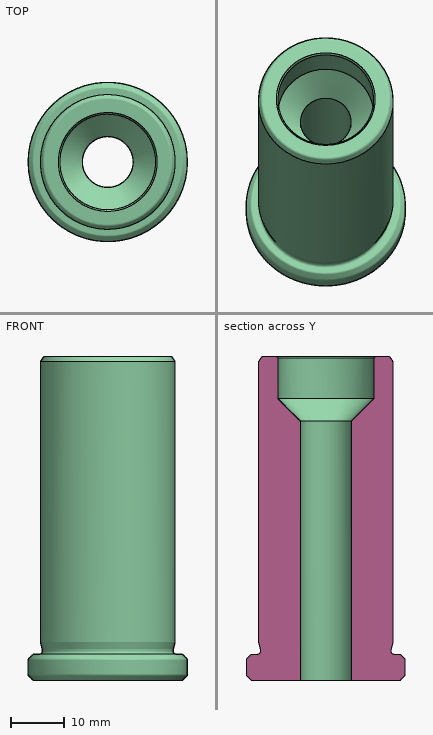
import cadquery as cq

total_length = 61.0
flange_height = 5.0
flange_radius = 30.0 / 2
tube_radius = 25.4 / 2
relief_radius = 24.7 / 2
bore_radius = 18.0 / 2
hole_radius = 9.5 / 2

flange_chamfer = 1.0
tube_chamfer_height = 1.0
tube_chamfer_width = 0.6
bore_chamfer = 0.3
edge_blend = 0.5

relief_top = 7.2
relief_taper_end = 5.85
root_fillet = 0.5

bore_floor = 53.1
cone_height = bore_radius - hole_radius


def revolved(points):
    """Revolve a closed (radius, height) outline about the Z axis."""
    return cq.Workplane("XZ").polyline(points).close().revolve(360, (0, 0), (0, 1))


def edges_at(body, radius, height):
    """Select the circular edge of a given radius and height."""
    tolerance = 0.005

    def box(reach):
        low = (-reach, -reach, height - tolerance)
        high = (reach, reach, height + tolerance)
        return cq.selectors.BoxSelector(low, high, boundingbox=True)

    return body.edges(box(radius + tolerance) - box(radius - tolerance))


flange_rim = flange_radius - flange_chamfer
tube_rim = tube_radius - tube_chamfer_width
tube_shoulder = total_length - tube_chamfer_height

body = revolved([
    (0, 0),
    (flange_rim, 0),
    (flange_radius, flange_chamfer),
    (flange_radius, flange_height - flange_chamfer),
    (flange_rim, flange_height),
    (relief_radius, flange_height),
    (relief_radius, relief_taper_end),
    (tube_radius, relief_top),
    (tube_radius, tube_shoulder),
    (tube_rim, total_length),
    (0, total_length),
])

for height in (flange_chamfer, flange_height - flange_chamfer):
    body = edges_at(body, flange_radius, height).fillet(edge_blend)
body = edges_at(body, flange_rim, flange_height).fillet(edge_blend)
body = edges_at(body, tube_rim, total_length).fillet(edge_blend)
body = edges_at(body, relief_radius, flange_height).fillet(root_fillet)

bore = revolved([
    (0, 0),
    (hole_radius, 0),
    (hole_radius, bore_floor - cone_height),
    (bore_radius, bore_floor),
    (bore_radius, total_length - bore_chamfer),
    (bore_radius + bore_chamfer, total_length),
    (0, total_length),
])

result = body.cut(bore)